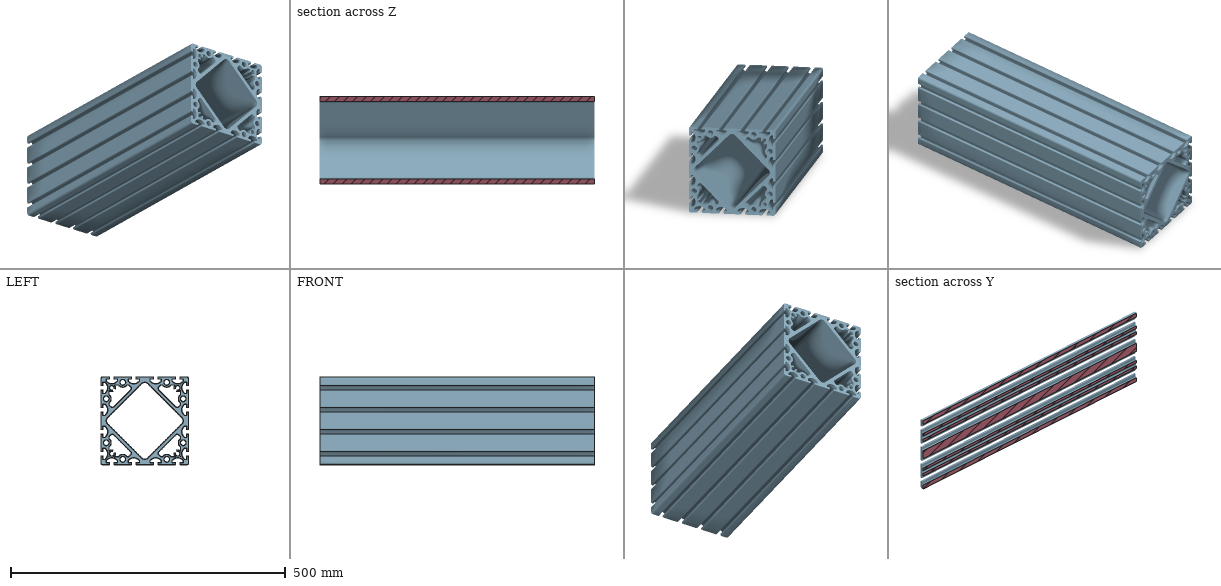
import cadquery as cq
import math

LENGTH = 500.0
SIDE = 160.0
HALF = SIDE / 2
CORNER_RADIUS = 4.0

PITCH = 40.0
SLOT_POSITIONS = [-1.5 * PITCH, -0.5 * PITCH, 0.5 * PITCH, 1.5 * PITCH]
MOUTH_WIDTH = 8.0
MOUTH_RADIUS = 1.5
LIP_DEPTH = 4.0
SLOT_WIDTH = 20.0
SLOT_WALL_DEPTH = 7.5
SLOT_FLOOR_RADIUS = 12.0

BORE_DIAMETER = 10.0
BORE_DEPTH = 10.0
BOSS_RADIUS = 9.0
BORE_POSITIONS = [-PITCH, PITCH]

DIAMOND_HALF_WIDTH = 51.7
DIAMOND_CORNER_RADIUS = 8.0

WEB_THICKNESS = 6.2
OUTER_WALL = 15.0
CAVITY_END_OFFSET = 36.0
CAVITY_END_RADIUS = 4.0

CHANNEL_CENTER = HALF - PITCH / 2
CHANNEL_INNER_RADIUS = 4.0
CHANNEL_OUTER_RADIUS = 7.0
CHANNEL_OPENING_ANGLE = 60.0

QUARTER_TURNS = [0, 90, 180, 270]
DIAGONAL = 45
X_AXIS_START = (0, 0, 0)
X_AXIS_END = (1, 0, 0)


def section():
    """Sketch plane at the start of the profile; local axes are Y and Z."""
    return cq.Workplane("YZ")


def turned(body, angle):
    return body.rotate(X_AXIS_START, X_AXIS_END, angle)


def slot(position):
    """T-slot on the +Z side, centred on the given Y position."""
    mouth = MOUTH_WIDTH / 2
    mouth_outer = mouth + MOUTH_RADIUS
    arc_offset = MOUTH_RADIUS * math.sin(math.radians(DIAGONAL))
    arc_y = mouth_outer - arc_offset
    arc_z = HALF - MOUTH_RADIUS + arc_offset
    wall = SLOT_WIDTH / 2
    floor = SLOT_FLOOR_RADIUS * math.sin(math.radians(DIAGONAL))
    lip = HALF - LIP_DEPTH
    wall_end = HALF - SLOT_WALL_DEPTH
    flank_end = wall_end - (wall - floor)
    bottom = flank_end + floor - SLOT_FLOOR_RADIUS
    return (
        section()
        .center(position, 0)
        .moveTo(-mouth_outer, HALF)
        .threePointArc((-arc_y, arc_z), (-mouth, HALF - MOUTH_RADIUS))
        .lineTo(-mouth, lip)
        .lineTo(-wall, lip)
        .lineTo(-wall, wall_end)
        .lineTo(-floor, flank_end)
        .threePointArc((0, bottom), (floor, flank_end))
        .lineTo(wall, wall_end)
        .lineTo(wall, lip)
        .lineTo(mouth, lip)
        .lineTo(mouth, HALF - MOUTH_RADIUS)
        .threePointArc((arc_y, arc_z), (mouth_outer, HALF))
        .close()
        .extrude(LENGTH)
    )


def diamond_cavity():
    """Central square tunnel turned by 45 degrees, with rounded corners."""
    width = 2 * DIAMOND_HALF_WIDTH
    square = section().rect(width, width).extrude(LENGTH).edges("|X").fillet(DIAMOND_CORNER_RADIUS)
    return turned(square, DIAGONAL)


def corner_cavity():
    """Cavity of the +Y +Z corner, without the bosses and the channel ring."""
    wall = HALF - OUTER_WALL
    web_line = (DIAMOND_HALF_WIDTH + WEB_THICKNESS) * math.sqrt(2)
    near = (web_line - CAVITY_END_OFFSET) / 2
    far = (web_line + CAVITY_END_OFFSET) / 2
    end_run = wall - far
    cavity = (
        section()
        .moveTo(near, far)
        .lineTo(near + end_run, wall)
        .lineTo(wall, wall)
        .lineTo(wall, near + end_run)
        .lineTo(far, near)
        .close()
        .extrude(LENGTH)
    )
    web_face = cavity.faces(cq.selectors.DirectionMinMaxSelector(cq.Vector(0, 1, 1), directionMax=False))
    return web_face.edges("|X").fillet(CAVITY_END_RADIUS)


def channel_ring():
    """Ring around the screw channel, cut open towards the profile centre."""
    ring = section().center(CHANNEL_CENTER, CHANNEL_CENTER).circle(CHANNEL_OUTER_RADIUS).extrude(LENGTH)
    reach = 2 * CHANNEL_OUTER_RADIUS
    half_angle = CHANNEL_OPENING_ANGLE / 2
    wide = reach * math.cos(math.radians(DIAGONAL - half_angle))
    narrow = reach * math.sin(math.radians(DIAGONAL - half_angle))
    opening = (
        section()
        .center(CHANNEL_CENTER, CHANNEL_CENTER)
        .lineTo(-wide, -narrow)
        .lineTo(-narrow, -wide)
        .close()
        .extrude(LENGTH)
    )
    return ring.cut(opening)


def corner_channel():
    return section().center(CHANNEL_CENTER, CHANNEL_CENTER).circle(CHANNEL_INNER_RADIUS).extrude(LENGTH)


def rounds_on_top(radius):
    """Cylinders on the bore axes of the +Z side."""
    points = [(position, HALF - BORE_DEPTH) for position in BORE_POSITIONS]
    return section().pushPoints(points).circle(radius).extrude(LENGTH)


def profile():
    body = section().rect(SIDE, SIDE).extrude(LENGTH).edges("|X").fillet(CORNER_RADIUS)
    body = body.cut(diamond_cavity())
    for angle in QUARTER_TURNS:
        body = body.cut(turned(corner_cavity(), angle))
    for angle in QUARTER_TURNS:
        body = body.union(turned(rounds_on_top(BOSS_RADIUS), angle))
        body = body.union(turned(channel_ring(), angle))
    for angle in QUARTER_TURNS:
        body = body.cut(turned(rounds_on_top(BORE_DIAMETER / 2), angle))
        body = body.cut(turned(corner_channel(), angle))
        for position in SLOT_POSITIONS:
            body = body.cut(turned(slot(position), angle))
    return body


result = profile()